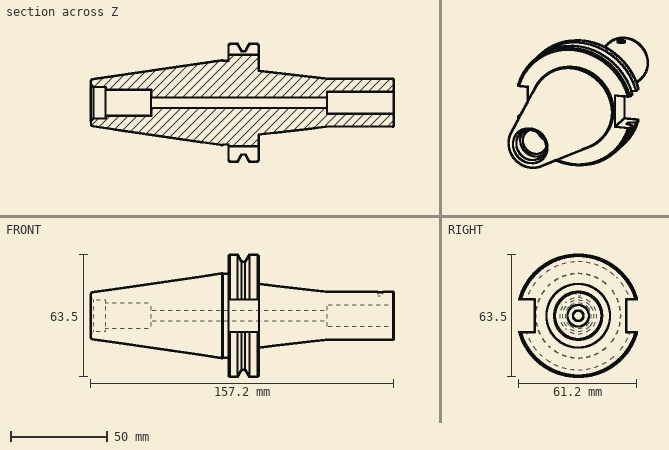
import cadquery as cq
import math

total_length = 157.2
gauge_x = 68.2
flange_start = 71.4
flange_width = 15.9
flange_end = flange_start + flange_width
neck_collar_length = 1.0
neck_start = flange_end + neck_collar_length
nose_start = 122.8

taper_rate = 7 / 24
gauge_diameter = 44.2
taper_end_diameter = gauge_diameter - taper_rate * gauge_x
relief_diameter = 43.7
relief_step_length = 0.5
taper_fillet = 1.5

flange_diameter = 63.5
flange_chamfer = 0.8
groove_center = 79.2
groove_floor_width = 1.9
groove_depth = 3.6
groove_half_angle = 30.0
slot_width = 17.0
slot_floor_back = 25.0
slot_floor_front = 22.6

neck_diameter = 33.0
nose_diameter = 25.0
nose_chamfer = 0.5

entry_diameter = 18.9
entry_depth = 1.4
bore_diameter = 16.2
bore_depth = 7.9
inner_bore_diameter = 13.4
inner_bore_depth = 31.5
through_diameter = 5.3

tool_bore_diameter = 11.2
tool_bore_depth = 34.6
tool_bore_start = total_length - tool_bore_depth

seat_x = 150.3
seat_diameter = 4.1
seat_depth = 0.3
socket_diameter = 2.4
socket_depth = 1.9


def revolve_about_x(points):
    """Solid of revolution about the X axis from (x, radius) points."""
    return cq.Workplane("XY").polyline(points).close().revolve(360, (0, 0, 0), (1, 0, 0))


def make_body():
    """Turned outer shape, from the small end of the taper to the nose."""
    points = [
        (0, 0),
        (0, taper_end_diameter / 2),
        (gauge_x, gauge_diameter / 2),
        (gauge_x + relief_step_length, relief_diameter / 2),
        (flange_start, relief_diameter / 2),
        (flange_start, flange_diameter / 2 - flange_chamfer),
        (flange_start + flange_chamfer, flange_diameter / 2),
        (flange_end - flange_chamfer, flange_diameter / 2),
        (flange_end, flange_diameter / 2 - flange_chamfer),
        (flange_end, neck_diameter / 2),
        (neck_start, neck_diameter / 2),
        (nose_start, nose_diameter / 2),
        (total_length - nose_chamfer, nose_diameter / 2),
        (total_length, nose_diameter / 2 - nose_chamfer),
        (total_length, 0),
    ]
    return revolve_about_x(points).faces("<X").edges().fillet(taper_fillet)


def make_groove():
    """V-shaped ring with a narrow flat floor."""
    flange_radius = flange_diameter / 2
    floor_radius = flange_radius - groove_depth
    floor_half = groove_floor_width / 2
    mouth_half = floor_half + groove_depth * math.tan(math.radians(groove_half_angle))
    return revolve_about_x([
        (groove_center - floor_half, floor_radius),
        (groove_center + floor_half, floor_radius),
        (groove_center + mouth_half, flange_radius),
        (groove_center - mouth_half, flange_radius),
    ])


def make_drive_slot(floor, side):
    """Slot across the flange rim; side is +1 for +Y and -1 for -Y."""
    depth = flange_diameter / 2 - floor
    center = (flange_start + flange_width / 2, side * (floor + depth / 2), 0)
    return cq.Workplane("XY").box(flange_width, depth, slot_width).translate(center)


def make_bore(start, depth, diameter):
    """Cylinder along the X axis, running from start toward +X."""
    return cq.Workplane("YZ", origin=(start, 0, 0)).circle(diameter / 2).extrude(depth)


def make_entry_cone():
    """Countersink that leads into the bore."""
    return revolve_about_x([
        (0, 0),
        (0, entry_diameter / 2),
        (entry_depth, bore_diameter / 2),
        (entry_depth, 0),
    ])


def make_seat():
    """Round seat with a flat floor, plus the blind hole below it."""
    seat_floor = nose_diameter / 2 - seat_depth
    floor_plane = cq.Workplane("XY", origin=(seat_x, 0, seat_floor))
    seat = floor_plane.circle(seat_diameter / 2).extrude(nose_diameter)
    socket = floor_plane.circle(socket_diameter / 2).extrude(-socket_depth)
    return seat.union(socket)


result = make_body()
result = result.cut(make_groove())
result = result.cut(make_drive_slot(slot_floor_back, 1))
result = result.cut(make_drive_slot(slot_floor_front, -1))
result = result.cut(make_entry_cone())
result = result.cut(make_bore(0, bore_depth, bore_diameter))
result = result.cut(make_bore(0, inner_bore_depth, inner_bore_diameter))
result = result.cut(make_bore(0, total_length, through_diameter))
result = result.cut(make_bore(tool_bore_start, tool_bore_depth, tool_bore_diameter))
result = result.cut(make_seat())